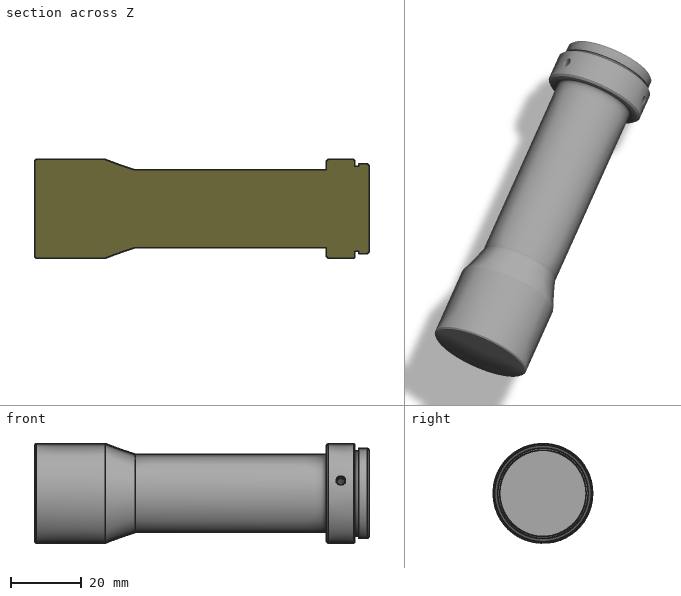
import cadquery as cq
import math

length = 94.4
head_diameter = 28.0
head_radius = head_diameter / 2
head_length = 19.9
head_chamfer = 0.4
tube_radius = 11.0
taper_end = 28.3
taper_sag = 0.1

collar_start = 82.2
collar_end = 90.3
collar_front_chamfer = 0.6
collar_rear_chamfer = 0.4

neck_radius = 12.1
rim_radius = 12.7
rim_start = 91.4
rim_chamfer = 0.6

hole_count = 3
hole_diameter = 2.55
hole_depth = 2.4
hole_tip_angle = 90.0
hole_x = 86.4
first_hole_angle = 45.0


def make_body():
    """Revolve the half profile; profile X is the part axis, profile Y the radius."""
    taper_middle = (
        (head_length + taper_end) / 2,
        (head_radius + tube_radius) / 2 - taper_sag,
    )
    profile = (
        cq.Workplane("XY")
        .lineTo(0, head_radius - head_chamfer)
        .lineTo(head_chamfer, head_radius)
        .lineTo(head_length, head_radius)
        .threePointArc(taper_middle, (taper_end, tube_radius))
        .lineTo(collar_start, tube_radius)
        .lineTo(collar_start, head_radius - collar_front_chamfer)
        .lineTo(collar_start + collar_front_chamfer, head_radius)
        .lineTo(collar_end - collar_rear_chamfer, head_radius)
        .lineTo(collar_end, head_radius - collar_rear_chamfer)
        .lineTo(collar_end, neck_radius)
        .lineTo(rim_start, neck_radius)
        .lineTo(rim_start, rim_radius)
        .lineTo(length - rim_chamfer, rim_radius)
        .lineTo(length, rim_radius - rim_chamfer)
        .lineTo(length, 0)
        .close()
    )
    return profile.revolve(360, (0, 0, 0), (1, 0, 0))


def make_screw_hole(angle):
    """Blind drilled hole with a conical tip, pointing at the axis."""
    hole_radius = hole_diameter / 2
    tip_length = hole_radius / math.tan(math.radians(hole_tip_angle / 2))
    floor = head_radius - hole_depth
    drill = (
        cq.Workplane("XY")
        .moveTo(0, floor - tip_length)
        .lineTo(hole_radius, floor)
        .lineTo(hole_radius, head_radius)
        .lineTo(0, head_radius)
        .close()
        .revolve(360, (0, 0, 0), (0, 1, 0))
    )
    return drill.translate((hole_x, 0, 0)).rotate((0, 0, 0), (1, 0, 0), angle)


result = make_body()
for index in range(hole_count):
    result = result.cut(make_screw_hole(first_hole_angle + index * 360 / hole_count))